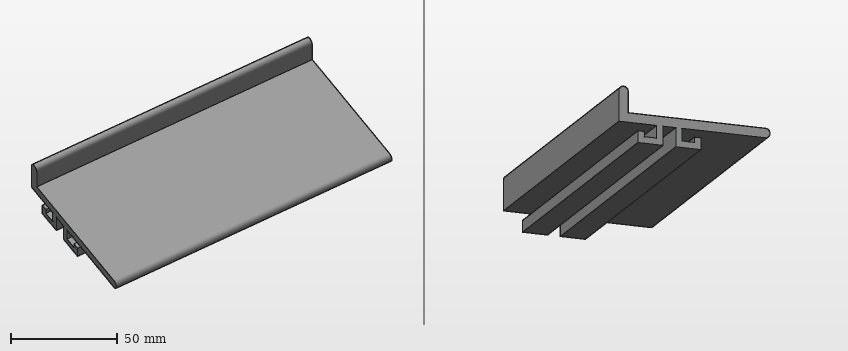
import cadquery as cq

width = 76.2
length = 152.4
height = 27.0

plate_thickness = 4.7
edge_radius = plate_thickness / 2

hook_drop = 9.5
hook_width = 12.6
hook_thickness = 3.2
hook_lip_height = 5.8
hook_gap = 6.4
hook_pair_center_x = 25.5

left = -width / 2
right = width / 2
bottom = -height / 2
top = height / 2
plate_bottom = bottom + hook_drop
plate_top = plate_bottom + plate_thickness
wall_inner = left + plate_thickness


def extrude_profile(profile):
    """Extrude a closed XZ profile over the full length, centered on Y."""
    return profile.extrude(length / 2, both=True)


def make_angle():
    """L-shaped section: a plate with an upright wall along its left edge."""
    profile = (
        cq.Workplane("XZ")
        .moveTo(left, plate_bottom)
        .lineTo(right - edge_radius, plate_bottom)
        .threePointArc((right, plate_bottom + edge_radius), (right - edge_radius, plate_top))
        .lineTo(wall_inner, plate_top)
        .lineTo(wall_inner, top - edge_radius)
        .threePointArc((left + edge_radius, top), (left, top - edge_radius))
        .close()
    )
    return extrude_profile(profile)


def make_hook(direction):
    """Hook opening upward; direction is +1 or -1 along X, away from the pair's center."""
    center_x = left + hook_pair_center_x
    inner = center_x + direction * hook_gap / 2
    outer = inner + direction * hook_width
    leg_face = inner + direction * hook_thickness
    lip_face = outer - direction * hook_thickness
    floor_top = bottom + hook_thickness
    lip_top = bottom + hook_lip_height
    leg_top = plate_bottom + plate_thickness / 2
    profile = (
        cq.Workplane("XZ")
        .moveTo(inner, leg_top)
        .lineTo(inner, bottom)
        .lineTo(outer, bottom)
        .lineTo(outer, lip_top)
        .lineTo(lip_face, lip_top)
        .lineTo(lip_face, floor_top)
        .lineTo(leg_face, floor_top)
        .lineTo(leg_face, leg_top)
        .close()
    )
    return extrude_profile(profile)


result = make_angle()
for direction in (-1, 1):
    result = result.union(make_hook(direction))